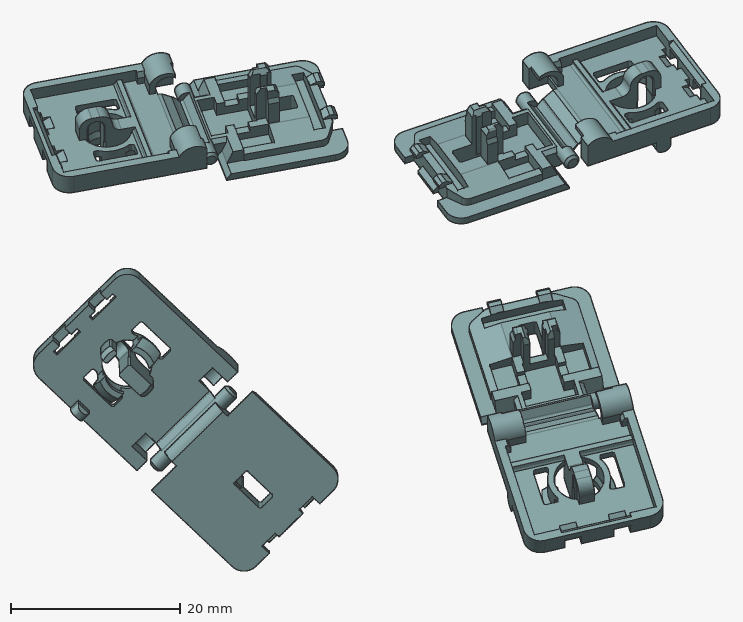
import cadquery as cq
import math


length = 36.1
half_width = 17.0 / 2
front_y = -length / 2
rear_y = length / 2

tray_rear_y = 0.3
tray_height = 2.6
tray_corner_radius = 2.05
floor_top = 0.97
floor_rear_y = -2.2
pocket_half_width = 7.47
pocket_front_y = -16.95
pocket_rear_y = -4.05
ridge_top = 1.55
ridge_front_y = -6.45

hook_y = -1.2
hook_z = 1.7
hook_radius = 2.1
hook_tip_y = 0.0
hook_inner_x = 4.7
cheek_inner_x = 6.8
hook_bore_y = -0.95
hook_bore_radius = 1.5

socket_y = -9.7
socket_radius = 2.95
collar_radius = 3.72
clip_half_span = 1.5
opening_outer_x = 4.98
prong_bottom = -3.6
strap_half_width = 0.95

arch_y = -11.23
arch_half_length = 2.02
arch_top = 4.15
arch_round = 1.5
arch_bore = 0.97
arch_bore_z = 2.45
arch_bevel = 0.1

cover_bottom = -2.55
flange_top = -1.62
cover_top = 0.05
cover_corner_radius = 2.0
body_half_width = 6.68
body_rear_y = 16.82
body_front_y = 5.35
crown_half_width = 3.0
eave_z = -0.6
notch_half_width = 4.25
stem_half_width = 2.02
cross_wall_half_width = 6.57

tower_top = 4.87
tower_front_y = 8.15
tower_rear_y = 10.72
tower_inner_x = 1.12
tower_outer_x = 2.9
inner_rib_x = 0.95

tab_inner_x = 2.2
tab_outer_x = 3.8
opening_clearance = 0.2
tab_root_y = 15.78

pin_y = 1.3
pin_z = -0.65
pin_radius = 0.97
pin_half_length = 6.6
pin_chamfer = 0.32
hinge_half_width = 4.5


def box(x0, x1, y0, y1, z0, z1):
    return cq.Workplane("XY").box(x1 - x0, y1 - y0, z1 - z0, centered=False).translate((x0, y0, z0))


def side_prism(points, x0, x1):
    """Extrude a (y, z) outline along X."""
    return cq.Workplane("YZ").workplane(offset=x0).polyline(points).close().extrude(x1 - x0)


def front_prism(points, y0, y1):
    """Extrude an (x, z) outline along Y."""
    return cq.Workplane("XZ").workplane(offset=-y1).polyline(points).close().extrude(y1 - y0)


def x_cylinder(y, z, radius, x0, x1):
    return cq.Workplane("YZ").workplane(offset=x0).center(y, z).circle(radius).extrude(x1 - x0)


def disc(radius, z0, z1):
    """Cylinder on the socket's upright axis."""
    return cq.Workplane("XY").workplane(offset=z0).center(0, socket_y).circle(radius).extrude(z1 - z0)


def both_sides(shape):
    return shape.union(shape.mirror("YZ"))


def tray_frame():
    frame = box(-half_width, half_width, front_y, tray_rear_y, 0, tray_height)
    frame = frame.edges("|Z and <Y").fillet(tray_corner_radius)
    pocket = box(
        -pocket_half_width, pocket_half_width, pocket_front_y, pocket_rear_y, floor_top, tray_height
    )
    rear_gap = box(-cheek_inner_x, cheek_inner_x, pocket_rear_y, tray_rear_y, floor_top, tray_height)
    under_hooks = box(-cheek_inner_x, cheek_inner_x, floor_rear_y, tray_rear_y, 0, tray_height)
    frame = frame.cut(pocket).cut(rear_gap).cut(under_hooks)

    bevel = 0.35
    jamb = front_prism(
        [
            (cheek_inner_x, tray_height),
            (cheek_inner_x + bevel, tray_height),
            (cheek_inner_x, tray_height - 2 * bevel),
        ],
        pocket_rear_y,
        floor_rear_y,
    )
    lip_depth = 0.58
    lip = side_prism(
        [
            (pocket_front_y, tray_height),
            (pocket_front_y - lip_depth, tray_height),
            (pocket_front_y, tray_height - lip_depth),
        ],
        -notch_half_width,
        notch_half_width,
    )
    return frame.cut(both_sides(jamb)).cut(lip)


def hook():
    """Cheek and curved hook on the +X side."""
    full = x_cylinder(hook_y, hook_z, hook_radius, hook_inner_x, half_width)
    root_y = -3.18
    crest = hook_z + hook_radius
    cheek = full.intersect(box(cheek_inner_x, half_width, root_y, tray_rear_y, hook_z, crest))
    shell = full.union(box(hook_inner_x, half_width, root_y, hook_y, 0, hook_z))
    shell = shell.intersect(box(hook_inner_x, cheek_inner_x, root_y, hook_tip_y, 0, crest))
    bore = x_cylinder(hook_bore_y, hook_z, hook_bore_radius, hook_inner_x, cheek_inner_x)
    below_bore = box(
        hook_inner_x, cheek_inner_x, hook_bore_y - hook_bore_radius, hook_tip_y, 0, hook_z
    )
    return cheek.union(shell.cut(bore).cut(below_bore))


def floor_ridge():
    """Cross ridge with a concave fillet behind it and a stepped slope in front."""
    rear_y = -5.8
    fillet = 0.32
    sag = fillet * (1 - math.sqrt(0.5))
    return (
        cq.Workplane("YZ")
        .workplane(offset=-pocket_half_width)
        .moveTo(rear_y + fillet, floor_top)
        .threePointArc((rear_y + sag, floor_top + sag), (rear_y, floor_top + fillet))
        .lineTo(rear_y, ridge_top)
        .lineTo(ridge_front_y, ridge_top)
        .lineTo(-6.6, 1.23)
        .lineTo(-6.82, floor_top)
        .close()
        .extrude(2 * pocket_half_width)
    )


def latch_opening():
    """Floor slot, front window and lead-in ramp for the +X latch tab."""
    inner_x = tab_inner_x - opening_clearance
    outer_x = tab_outer_x + opening_clearance
    slot_inner_x = 1.05
    slot_rear_y = -16.43
    window_top = 1.5
    ramp_rear_y = -15.52
    ramp_bottom = 0.47
    slot = box(slot_inner_x, opening_outer_x, pocket_front_y, slot_rear_y, 0, floor_top)
    window = box(inner_x, outer_x, front_y, slot_rear_y, 0, window_top)
    ramp = side_prism(
        [(ramp_rear_y, floor_top), (slot_rear_y, floor_top), (slot_rear_y, ramp_bottom)],
        inner_x,
        outer_x,
    )
    return slot.union(window).union(ramp)


def collar_slot():
    """Through slot outside the +X clip, following the collar on its inner side."""
    inner_x = 3.18
    half_length = 2.53
    corner_radius = 0.32
    slot = box(
        inner_x, opening_outer_x, socket_y - half_length, socket_y + half_length, 0, floor_top
    )
    return slot.cut(disc(collar_radius, 0, floor_top)).edges("|Z").fillet(corner_radius)


def clips():
    """Pair of barbed legs cut from one revolved ring."""
    knee_z = -1.75
    barb_radius = 4.4
    toe_radius = 2.65
    ring = (
        cq.Workplane("XZ")
        .polyline(
            [
                (socket_radius, floor_top),
                (collar_radius, floor_top),
                (collar_radius, knee_z),
                (barb_radius, -2.15),
                (barb_radius, -2.42),
                (3.35, prong_bottom),
                (toe_radius, prong_bottom),
                (toe_radius, -2.55),
                (socket_radius, knee_z),
            ]
        )
        .close()
        .revolve(360, (0, 0, 0), (0, 1, 0))
        .translate((0, socket_y, 0))
    )
    span_front_y = socket_y - clip_half_span
    span_rear_y = socket_y + clip_half_span
    span = box(-barb_radius, barb_radius, span_front_y, span_rear_y, prong_bottom, floor_top)
    return ring.intersect(span)


def strap_and_arch():
    """Strap across the socket that rises into an arch, with a prong under each end."""
    arch_rear_y = arch_y + arch_half_length
    arch_front_y = arch_y - arch_half_length
    arch = box(-strap_half_width, strap_half_width, arch_front_y, arch_rear_y, 0, arch_top)
    arch = arch.edges("|X and >Z").fillet(arch_round)
    arch = arch.cut(x_cylinder(arch_y, arch_bore_z, arch_bore, -strap_half_width, strap_half_width))
    arch = arch.cut(
        box(-strap_half_width, strap_half_width, arch_y - arch_bore, arch_y + arch_bore, 0, arch_bore_z)
    )
    arch = arch.edges(cq.selectors.RadiusNthSelector(0)).chamfer(arch_bevel)

    sweep = 1.1
    web = box(-strap_half_width, strap_half_width, arch_rear_y, arch_rear_y + sweep, 0, ridge_top + sweep)
    web = web.cut(
        x_cylinder(arch_rear_y + sweep, ridge_top + sweep, sweep, -strap_half_width, strap_half_width)
    )
    strap = box(-strap_half_width, strap_half_width, arch_rear_y, ridge_front_y, 0, ridge_top)

    tip = 0.55
    edge_bevel = 0.2
    collar = disc(collar_radius, prong_bottom, 0)
    front_prong_rear_y = -12.15
    collar_rear_y = socket_y + collar_radius
    collar_front_y = socket_y - collar_radius
    rear_prong = box(
        -strap_half_width, strap_half_width, arch_y + arch_bore, collar_rear_y, prong_bottom, 0
    )
    rear_prong = rear_prong.intersect(collar).edges("|Z").chamfer(edge_bevel)
    front_prong = box(
        -strap_half_width, strap_half_width, collar_front_y, front_prong_rear_y, prong_bottom, 0
    )
    front_prong = front_prong.intersect(collar).edges("|Z").chamfer(edge_bevel)
    outside = collar.faces("<Z").chamfer(tip)
    prongs = rear_prong.union(front_prong).intersect(outside)
    return arch.union(web).union(strap).union(prongs)


def locating_leg():
    """Round-ended leg under the -X wall."""
    inner_x = -7.2
    leg_front_y = -10.72
    leg_rear_y = -8.85
    foot_z = -1.8
    foot_round = 0.83
    bevel_width = 0.45
    bevel_height = 0.55
    leg = box(-half_width, inner_x, leg_front_y, leg_rear_y, foot_z, 0)
    leg = leg.edges("|X and <Z").fillet(foot_round)
    bevel = front_prism(
        [(inner_x, foot_z + bevel_height), (inner_x, foot_z), (inner_x - bevel_width, foot_z)],
        leg_front_y,
        leg_rear_y,
    )
    return leg.cut(bevel)


def make_tray():
    tray = tray_frame().union(both_sides(hook())).union(floor_ridge())
    tray = tray.cut(disc(socket_radius, 0, floor_top)).cut(both_sides(collar_slot()))
    tray = tray.cut(both_sides(latch_opening()))
    return tray.union(clips()).union(strap_and_arch()).union(locating_leg())


front_slope = [(4.0, cover_top), (3.3, flange_top), (2.7, -2.35)]
slope_top_y = front_slope[0][0]
slope_foot_y = front_slope[2][0]


def cover_flange():
    flange = box(-half_width, half_width, slope_foot_y, rear_y, cover_bottom, flange_top)
    flange = flange.edges("|Z and >Y").fillet(cover_corner_radius)
    notch = box(-notch_half_width, notch_half_width, body_rear_y, rear_y, cover_bottom, flange_top)
    wedge = side_prism(
        [front_slope[1], front_slope[2], (slope_foot_y, flange_top)], -half_width, half_width
    )
    return flange.cut(notch).cut(wedge)


def cover_body():
    """Raised body with a flat crown and a roof that falls towards both sides."""
    shoulder_y = 15.52
    outline = [
        (-body_half_width, body_front_y),
        (-body_half_width, shoulder_y),
        (-notch_half_width, body_rear_y),
        (notch_half_width, body_rear_y),
        (body_half_width, shoulder_y),
        (body_half_width, body_front_y),
    ]
    block = cq.Workplane("XY").workplane(offset=flange_top).polyline(outline).close()
    block = block.extrude(cover_top - flange_top)
    shoulder_round = 1.1
    reach = 0.18
    shoulder = cq.selectors.BoxSelector(
        (-half_width, shoulder_y - reach, cover_bottom), (half_width, shoulder_y + reach, tower_top)
    )
    block = block.edges("|Z").edges(shoulder).fillet(shoulder_round)
    roof = front_prism(
        [
            (-body_half_width, flange_top),
            (-body_half_width, eave_z),
            (-crown_half_width, cover_top),
            (crown_half_width, cover_top),
            (body_half_width, eave_z),
            (body_half_width, flange_top),
        ],
        body_front_y,
        body_rear_y,
    )
    cross_wall = side_prism(
        [(body_front_y, cover_top), (body_front_y, flange_top), front_slope[1], front_slope[0]],
        -cross_wall_half_width,
        cross_wall_half_width,
    )
    return block.intersect(roof).union(cross_wall)


def hinge_block():
    """Central block that carries the pin, with bevelled upper sides and a round underside."""
    half = 4.3
    bevel_x = 0.55
    bevel_z = 0.45
    nose_y = 1.95
    block = (
        cq.Workplane("YZ")
        .workplane(offset=-half)
        .moveTo(slope_top_y, cover_top)
        .lineTo(nose_y, cover_top)
        .lineTo(pin_y, pin_z)
        .lineTo(0.7, -1.5)
        .threePointArc((1.2, -2.15), (nose_y, cover_bottom))
        .lineTo(slope_top_y, cover_bottom)
        .close()
        .extrude(2 * half)
    )
    bevel = front_prism(
        [(half - bevel_x, cover_top), (half, cover_top), (half, cover_top - bevel_z)],
        pin_y,
        slope_top_y,
    )
    return block.cut(both_sides(bevel))


def body_recesses():
    """T-shaped recess with ledges beside it, two roof pockets and a rear trough."""
    recess_floor = -1.8
    stem_front_y = 4.35
    head_front_y = 2.27
    head_half_width = 3.2
    stem = box(
        -stem_half_width, stem_half_width, stem_front_y, tower_front_y, recess_floor, cover_top
    )
    head = box(-head_half_width, head_half_width, head_front_y, stem_front_y, recess_floor, cover_top)

    ledge_z = -0.65
    ledge_rear_y = 7.08
    ledge = box(
        -crown_half_width, crown_half_width, body_front_y, ledge_rear_y, ledge_z, cover_top
    )

    pocket_outer_x = 5.75
    pocket_rear = 9.35
    pocket = box(crown_half_width, pocket_outer_x, body_front_y, pocket_rear, flange_top, cover_top)

    trough_half_width = 4.98
    trough_front_y = 14.35
    trough_floor = -1.45
    trough = box(
        -trough_half_width, trough_half_width, trough_front_y, tab_root_y, trough_floor, cover_top
    )
    return stem.union(head).union(ledge).union(both_sides(pocket)).union(trough)


def tower_slot():
    """Through slot between the towers, with a sunken bridge at its front end."""
    slot_front_y = 9.02
    slot_rear_y = 13.45
    corner_radius = 0.3
    bridge_z = -0.4
    slot = box(-tower_inner_x, tower_inner_x, slot_front_y, slot_rear_y, cover_bottom, cover_top)
    slot = slot.edges("|Z and >Y").fillet(corner_radius)
    bridge = box(-tower_inner_x, tower_inner_x, tower_front_y, slot_front_y, bridge_z, cover_top)
    return slot.union(bridge)


def tower():
    """Upright snap tower on the +X side: a flat blade with a barbed rib on each face."""
    blade_outer_x = 1.88
    outer_rib_front_y = 9.35
    inner_rib_front_y = 9.42
    inner_rib_rear_y = 10.25
    side_outline = [
        (tower_front_y, flange_top),
        (tower_front_y, 4.0),
        (8.7, tower_top),
        (10.3, tower_top),
        (tower_rear_y, 4.3),
        (tower_rear_y, flange_top),
    ]
    front_outline = [
        (inner_rib_x, flange_top),
        (inner_rib_x, 4.25),
        (1.55, tower_top),
        (2.55, tower_top),
        (2.55, 3.7),
        (tower_outer_x, 3.1),
        (tower_outer_x, flange_top),
    ]
    plan = box(tower_inner_x, blade_outer_x, tower_front_y, tower_rear_y, flange_top, tower_top)
    plan = plan.union(
        box(blade_outer_x, tower_outer_x, outer_rib_front_y, tower_rear_y, flange_top, tower_top)
    )
    plan = plan.union(
        box(inner_rib_x, tower_inner_x, inner_rib_front_y, inner_rib_rear_y, flange_top, tower_top)
    )
    side = side_prism(side_outline, inner_rib_x, tower_outer_x)
    front = front_prism(front_outline, tower_front_y, tower_rear_y)
    return plan.intersect(side).intersect(front)


def towers():
    """Both towers; only the -X one has a rounded outer top edge."""
    outer_round = 0.3
    right = tower()
    left = right.mirror("YZ")
    return right.union(left.edges("|Y and >Z").edges("<X").fillet(outer_round))


def latch_tab():
    """Hooked tab over the rear edge on the +X side."""
    tab_bottom = -0.32
    tab_top = 0.45
    tab_tip_y = 17.58
    root_z = -0.55
    return side_prism(
        [
            (tab_root_y, root_z),
            (tab_root_y, 0.0),
            (16.6, tab_top),
            (17.2, tab_top),
            (tab_tip_y, 0.07),
            (tab_tip_y, tab_bottom),
            (body_rear_y, tab_bottom),
            (body_rear_y, root_z),
        ],
        tab_inner_x,
        tab_outer_x,
    )


def rear_lip():
    """Wedge-shaped lip low in the rear notch."""
    tip_y = 17.47
    tip_z = -2.15
    return side_prism(
        [(body_rear_y, flange_top), (tip_y, tip_z), (tip_y, cover_bottom), (body_rear_y, cover_bottom)],
        -stem_half_width,
        stem_half_width,
    )


def make_cover():
    cover = cover_flange().union(cover_body()).union(hinge_block())
    cover = cover.cut(body_recesses()).cut(tower_slot())
    return cover.union(towers()).union(both_sides(latch_tab())).union(rear_lip())


groove_y = 0.5
groove_z = -0.8


def hinge_pin():
    """Pin with bevelled ends and a rounded groove across its middle."""
    pin = x_cylinder(pin_y, pin_z, pin_radius, -pin_half_length, pin_half_length)
    pin = pin.faces("<X or >X").chamfer(pin_chamfer)
    clear_z = pin_z + pin_radius
    pin_edge_y = pin_y - pin_radius
    groove = (
        cq.Workplane("YZ")
        .workplane(offset=-hinge_half_width)
        .moveTo(1.75, clear_z)
        .lineTo(0.9, -0.6)
        .threePointArc((0.72, -0.75), (groove_y, groove_z))
        .lineTo(pin_edge_y, pin_z)
        .lineTo(pin_edge_y, clear_z)
        .close()
        .extrude(2 * hinge_half_width)
    )
    return pin.cut(groove)


def living_hinge():
    """Thin strip that climbs from the pin to the tray floor."""
    return side_prism(
        [
            (groove_y, groove_z),
            (-0.3, 0),
            (-1.75, 0.9),
            (floor_rear_y, floor_top),
            (floor_rear_y, 0),
            (-0.47, 0),
            (0.45, -1.1),
            (0.72, -1.23),
        ],
        -hinge_half_width,
        hinge_half_width,
    )


result = make_tray().union(make_cover()).union(hinge_pin()).union(living_hinge())